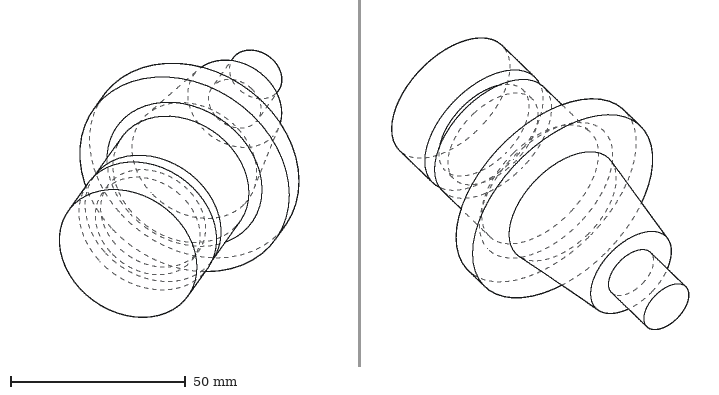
import cadquery as cq

nose_diameter = 42.0
groove_diameter = 32.0
body_diameter = 41.5
collar_diameter = 47.3
flange_diameter = 64.0
taper_base_diameter = 38.1
taper_tip_diameter = 28.7
pin_diameter = 16.0

overall_length = 104.0
nose_length = 16.0
groove_width = 4.4
body_length = 22.7
collar_length = (collar_diameter - body_diameter) / 2
flange_thickness = 8.0
taper_length = 33.0

sections = [
    (nose_length, nose_diameter, nose_diameter),
    (groove_width, groove_diameter, groove_diameter),
    (body_length, body_diameter, body_diameter),
    (collar_length, body_diameter, collar_diameter),
    (flange_thickness, flange_diameter, flange_diameter),
    (taper_length, taper_base_diameter, taper_tip_diameter),
]
pin_length = overall_length - sum(length for length, _, _ in sections)
sections.append((pin_length, pin_diameter, pin_diameter))


def half_profile(sections):
    """Radial outline (radius along X, position along Y), closed on the axis."""
    points = [(0, 0)]
    position = 0
    for length, front_diameter, rear_diameter in sections:
        points.append((front_diameter / 2, position))
        position += length
        points.append((rear_diameter / 2, position))
    points.append((0, position))
    return [point for i, point in enumerate(points) if i == 0 or point != points[i - 1]]


result = (
    cq.Workplane("XY")
    .polyline(half_profile(sections))
    .close()
    .revolve(360, (0, 0), (0, 1))
    .translate((0, -overall_length / 2, 0))
)